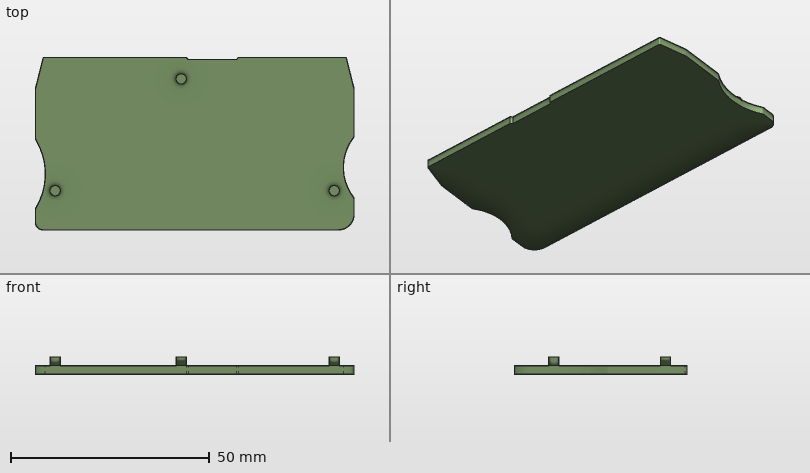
import cadquery as cq

LENGTH = 80.2
WIDTH = 43.4
PLATE_THICKNESS = 2.2

TAPER_INSET = 2.0
TAPER_LENGTH = 7.9
TAPER_TIP_RADIUS = 0.3
TAPER_FOOT_RADIUS = 1.0

NOTCH_LEFT = 38.0
NOTCH_RIGHT = 51.1
NOTCH_DEPTH = 0.5

LEFT_RECESS_CENTER_Y = 14.1
LEFT_RECESS_CHORD = 17.5
LEFT_RECESS_DEPTH = 2.5
RIGHT_RECESS_CENTER_Y = 15.75
RIGHT_RECESS_CHORD = 15.4
RIGHT_RECESS_DEPTH = 2.7
RECESS_EDGE_RADIUS = 1.0

FRONT_LEFT_RADIUS = 2.0
FRONT_RIGHT_RADIUS = 4.0

PIN_DIAMETER = 2.6
PIN_HEIGHT = 2.2
PIN_END_INSET = 5.0
FRONT_PIN_Y = 9.9
BACK_PIN_X = 36.7
BACK_PIN_Y = 38.0

taper_foot_y = WIDTH - TAPER_LENGTH
left_recess_bottom = LEFT_RECESS_CENTER_Y - LEFT_RECESS_CHORD / 2
left_recess_top = LEFT_RECESS_CENTER_Y + LEFT_RECESS_CHORD / 2
right_recess_bottom = RIGHT_RECESS_CENTER_Y - RIGHT_RECESS_CHORD / 2
right_recess_top = RIGHT_RECESS_CENTER_Y + RIGHT_RECESS_CHORD / 2


def sharp_plate():
    """Plate with every corner still sharp, drawn counter-clockwise from the front-left corner."""
    return (
        cq.Workplane("XY")
        .moveTo(0, 0)
        .lineTo(LENGTH, 0)
        .lineTo(LENGTH, right_recess_bottom)
        .threePointArc(
            (LENGTH - RIGHT_RECESS_DEPTH, RIGHT_RECESS_CENTER_Y),
            (LENGTH, right_recess_top),
        )
        .lineTo(LENGTH, taper_foot_y)
        .lineTo(LENGTH - TAPER_INSET, WIDTH)
        .lineTo(NOTCH_RIGHT, WIDTH)
        .lineTo(NOTCH_RIGHT - NOTCH_DEPTH, WIDTH - NOTCH_DEPTH)
        .lineTo(NOTCH_LEFT + NOTCH_DEPTH, WIDTH - NOTCH_DEPTH)
        .lineTo(NOTCH_LEFT, WIDTH)
        .lineTo(TAPER_INSET, WIDTH)
        .lineTo(0, taper_foot_y)
        .lineTo(0, left_recess_top)
        .threePointArc(
            (LEFT_RECESS_DEPTH, LEFT_RECESS_CENTER_Y),
            (0, left_recess_bottom),
        )
        .close()
        .extrude(PLATE_THICKNESS)
    )


def round_corners(plate, corners, radius):
    """Round the upright plate edges that stand at the given XY corners."""
    for x, y in corners:
        edge_middle = (x, y, PLATE_THICKNESS / 2)
        plate = plate.edges(cq.selectors.NearestToPointSelector(edge_middle)).fillet(radius)
    return plate


def rounded_plate():
    """Plate with its front, taper and recess corners rounded."""
    taper_tips = [(TAPER_INSET, WIDTH), (LENGTH - TAPER_INSET, WIDTH)]
    taper_feet = [(0, taper_foot_y), (LENGTH, taper_foot_y)]
    recess_ends = [
        (0, left_recess_bottom),
        (0, left_recess_top),
        (LENGTH, right_recess_bottom),
        (LENGTH, right_recess_top),
    ]
    plate = sharp_plate()
    plate = round_corners(plate, [(0, 0)], FRONT_LEFT_RADIUS)
    plate = round_corners(plate, [(LENGTH, 0)], FRONT_RIGHT_RADIUS)
    plate = round_corners(plate, taper_tips, TAPER_TIP_RADIUS)
    plate = round_corners(plate, taper_feet, TAPER_FOOT_RADIUS)
    return round_corners(plate, recess_ends, RECESS_EDGE_RADIUS)


def pins():
    """Three pins, started at the plate underside so that they merge fully with the plate."""
    centers = [
        (PIN_END_INSET, FRONT_PIN_Y),
        (LENGTH - PIN_END_INSET, FRONT_PIN_Y),
        (BACK_PIN_X, BACK_PIN_Y),
    ]
    return (
        cq.Workplane("XY")
        .pushPoints(centers)
        .circle(PIN_DIAMETER / 2)
        .extrude(PLATE_THICKNESS + PIN_HEIGHT)
    )


result = rounded_plate().union(pins())